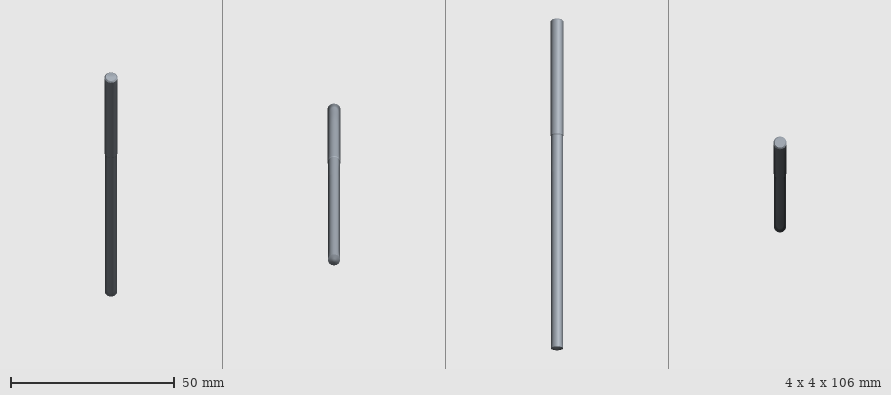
import cadquery as cq
import math

overall_length = 106.0
shank_diameter = 4.0
shank_length = 37.0
drill_diameter = 3.73
point_angle = 140.0
cutting_length = 57.0
shank_chamfer = 0.4
shank_step_taper_height = 0.25

shank_radius = shank_diameter / 2
drill_radius = drill_diameter / 2
point_height = drill_radius / math.tan(math.radians(point_angle / 2))
shank_start = overall_length - shank_length


def revolve_about_axis(profile):
    """Turn a closed profile of (radius, height) points about the Z axis."""
    return cq.Workplane("XZ").polyline(profile).close().revolve(360, (0, 0, 0), (0, 1, 0))


def make_cutting_part():
    """Cylindrical cutting envelope with a conical point at its lower end."""
    return revolve_about_axis([
        (0, 0),
        (drill_radius, point_height),
        (drill_radius, cutting_length),
        (0, cutting_length),
    ])


def make_shank():
    """Neck and wider clamping shank, with a taper down to the neck and a chamfered top."""
    return revolve_about_axis([
        (0, cutting_length),
        (drill_radius, cutting_length),
        (drill_radius, shank_start - shank_step_taper_height),
        (shank_radius, shank_start),
        (shank_radius, overall_length - shank_chamfer),
        (shank_radius - shank_chamfer, overall_length),
        (0, overall_length),
    ])


cutting_part = make_cutting_part()
shank = make_shank()

result = cq.Compound.makeCompound([cutting_part.val(), shank.val()])